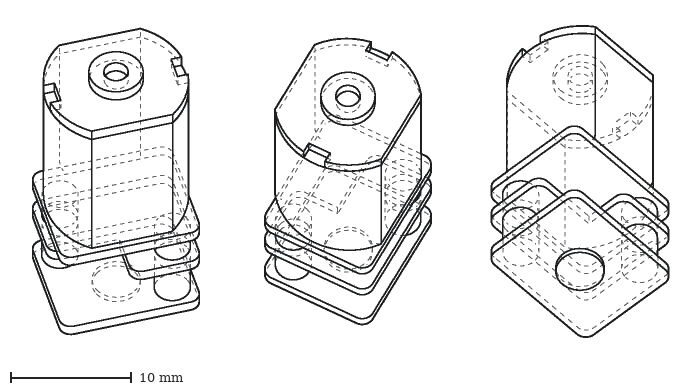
import cadquery as cq

width = 10.0
depth = 12.0
total_height = 26.0

plate_thickness = 1.0
bottom_plate_top = 1.5
middle_plate_top = 6.5
top_plate_top = 10.0
corner_radius = 1.0
post_diameter = 3.0
post_spacing_x = 6.0
post_spacing_y = 8.0
output_boss_diameter = 4.0
cutout_x = 1.0

can_base = top_plate_top
can_top = 24.0
flat_length = 7.0
can_fillet = 1.0

cap_top = 25.0
bearing_boss_diameter = 4.5
bearing_hole_diameter = 2.0
notch_width = 2.0
notch_depth = 1.0


def cylinder(diameter, z_bottom, z_top, x=0, y=0):
    return (
        cq.Workplane("XY", origin=(x, y, z_bottom))
        .circle(diameter / 2)
        .extrude(z_top - z_bottom)
    )


def block(x_size, y_size, z_bottom, z_top, x=0, y=0):
    return (
        cq.Workplane("XY", origin=(x, y, z_bottom))
        .rect(x_size, y_size)
        .extrude(z_top - z_bottom)
    )


def can_section(z_bottom, z_top):
    """Prism with flats on the -X and +X sides, joined by arcs on the -Y and +Y sides."""
    return (
        cq.Workplane("XY", origin=(0, 0, z_bottom))
        .moveTo(-width / 2, -flat_length / 2)
        .threePointArc((0, -depth / 2), (width / 2, -flat_length / 2))
        .lineTo(width / 2, flat_length / 2)
        .threePointArc((0, depth / 2), (-width / 2, flat_length / 2))
        .close()
        .extrude(z_top - z_bottom)
    )


def plate(z_top):
    return block(width, depth, z_top - plate_thickness, z_top).edges("|Z").fillet(corner_radius)


def middle_plate():
    """L-shaped plate: the +X, -Y corner is cut away, leaving a sharp inner corner."""
    outline = [
        (-width / 2, -depth / 2),
        (cutout_x, -depth / 2),
        (cutout_x, 0),
        (width / 2, 0),
        (width / 2, depth / 2),
        (-width / 2, depth / 2),
    ]
    l_plate = (
        cq.Workplane("XY", origin=(0, 0, middle_plate_top - plate_thickness))
        .polyline(outline)
        .close()
        .extrude(plate_thickness)
    )
    inner_corner = cq.selectors.NearestToPointSelector(
        (cutout_x, 0, middle_plate_top - plate_thickness / 2)
    )
    upright_edges = cq.selectors.ParallelDirSelector(cq.Vector(0, 0, 1))
    outer_corners = upright_edges - inner_corner
    return l_plate.edges(outer_corners).fillet(corner_radius)


def make_gearbox_frame():
    frame = plate(bottom_plate_top).union(middle_plate()).union(plate(top_plate_top))
    for side in (-1, 1):
        post = cylinder(
            post_diameter,
            bottom_plate_top - plate_thickness / 2,
            top_plate_top - plate_thickness / 2,
            side * post_spacing_x / 2,
            side * post_spacing_y / 2,
        )
        frame = frame.union(post)
    return frame.union(cylinder(output_boss_diameter, 0, bottom_plate_top))


def make_motor_can():
    return can_section(can_base, can_top).faces("<Z").edges().fillet(can_fillet)


def make_end_cap():
    cap = can_section(can_top, cap_top)
    for side in (-1, 1):
        notch_y = side * (depth - notch_depth) / 2
        cap = cap.cut(block(notch_width, notch_depth, can_top, cap_top, y=notch_y))
    boss = cylinder(bearing_boss_diameter, cap_top, total_height)
    boss = boss.cut(cylinder(bearing_hole_diameter, cap_top, total_height))
    return cap.union(boss)


gearbox_frame = make_gearbox_frame()
motor_can = make_motor_can()
end_cap = make_end_cap()

result = cq.Compound.makeCompound(
    [*gearbox_frame.solids().vals(), *motor_can.solids().vals(), *end_cap.solids().vals()]
)